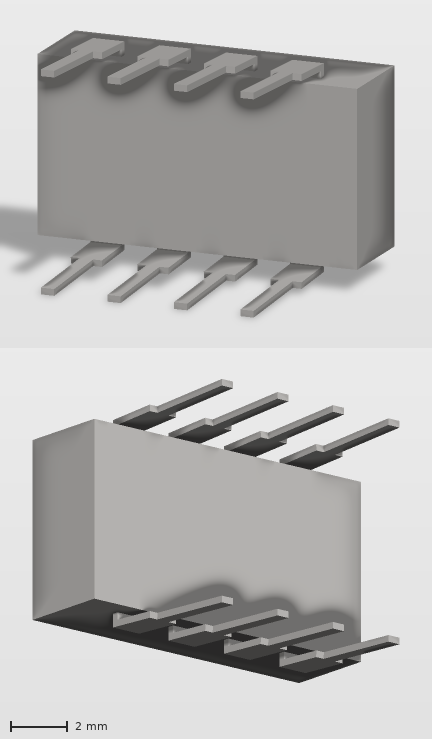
import cadquery as cq
import math

body_length = 12.2
body_depth = 3.42
body_height = 6.61

lead_count = 4
lead_pitch = 2.54
lead_thickness = 0.25
blade_width = 1.2
pin_width = 0.51
splay_angle = 3.0

lead_back = 2.4
shoulder_distance = 4.43
overall_depth = 8.0

overall_height = 8.21
splay_slope = math.tan(math.radians(splay_angle))
tip_top = overall_height / 2
heel_top = tip_top - (overall_depth - lead_back) * splay_slope
vertical_thickness = lead_thickness / math.cos(math.radians(splay_angle))


def top_height(distance):
    """Height of the lead's upper surface at a distance from the back face."""
    return heel_top + (distance - lead_back) * splay_slope


def extrude_profile(points, width):
    """Extrude a (Y, Z) outline along X, centred on X = 0."""
    return cq.Workplane("YZ").polyline(points).close().extrude(width / 2, both=True)


def make_lead():
    """One upper lead: a wide bent blade that narrows to a pin at the shoulder."""
    heel_front = lead_back + lead_thickness
    body_top = body_height / 2
    shoulder_top = top_height(shoulder_distance)
    shoulder_bottom_distance = shoulder_distance + lead_thickness * math.sin(math.radians(splay_angle))
    shoulder_bottom = shoulder_top - lead_thickness * math.cos(math.radians(splay_angle))

    blade = extrude_profile(
        [
            (-lead_back, body_top),
            (-lead_back, heel_top),
            (-shoulder_distance, shoulder_top),
            (-shoulder_bottom_distance, shoulder_bottom),
            (-heel_front, top_height(heel_front) - vertical_thickness),
            (-heel_front, body_top),
        ],
        blade_width,
    )
    pin = extrude_profile(
        [
            (-heel_front, top_height(heel_front)),
            (-overall_depth, tip_top),
            (-overall_depth, tip_top - vertical_thickness),
            (-heel_front, top_height(heel_front) - vertical_thickness),
        ],
        pin_width,
    )
    return blade.union(pin)


body = cq.Workplane("XY").box(body_length, body_depth, body_height)
result = body.translate((0, -body_depth / 2, 0))

upper_lead = make_lead()
lower_lead = upper_lead.mirror("XY")
for index in range(lead_count):
    lead_x = (index - (lead_count - 1) / 2) * lead_pitch
    result = result.union(upper_lead.translate((lead_x, 0, 0)))
    result = result.union(lower_lead.translate((lead_x, 0, 0)))